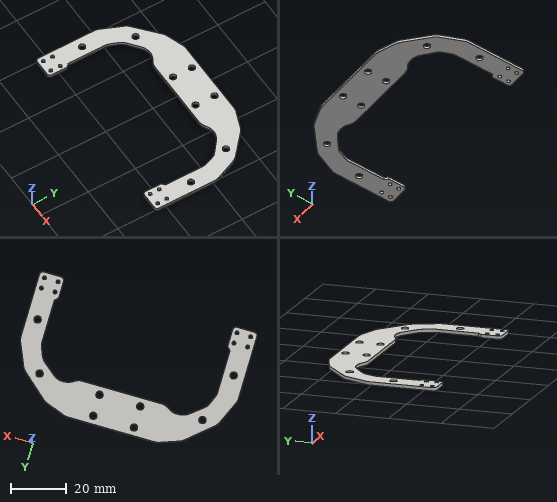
import cadquery as cq

overall_width = 81.25
overall_depth = 48.57
thickness = 1.27

half_width = overall_width / 2
pad_width = 9.1
arm_width = 7.86
step_top = 9.0
bridge_depth = 14.15

arm_inner_x = half_width - arm_width
pad_inner_x = half_width - pad_width
step_run = pad_width - arm_width
bridge_inner_y = overall_depth - bridge_depth
bay_top_y = 36.5

foot_radius = 1.27
bend_radius = 5.6

outer_bends = [
    (half_width, 25.9),
    (36.2, 36.15),
    (25.62, 45.47),
    (17.05, overall_depth),
]
inner_bends = [
    (16.5, bridge_inner_y),
    (19.3, bay_top_y),
    (23.6, bay_top_y),
    (30.7, 30.75),
    (arm_inner_x, 25.6),
]
foot_corners = [(pad_inner_x, 0), (half_width, 0)]

mount_diameter = 2.54
bridge_hole_x = 7.6
bridge_hole_rows = [37.52, 45.52]
arm_mounts = [(30.4, 36.06), (36.6, 17.3)]

pin_diameter = 1.27
pin_outer_x = half_width - 2.15
pin_pitch_x = 5.08
pin_columns = [pin_outer_x - pin_pitch_x, pin_outer_x]
pin_rows = [2.05, 5.93]


def mirrored(points):
    """The given right-hand points followed by their left-hand copies."""
    return points + [(-x, y) for x, y in points]


def round_corners(plate, corners, radius):
    """Round the upright edges of the plate standing at the given corners."""
    for x, y in corners:
        edge = cq.selectors.NearestToPointSelector((x, y, thickness / 2))
        plate = plate.edges("|Z").edges(edge).fillet(radius)
    return plate


def make_plate():
    """Horseshoe plate with rounded bends and feet."""
    step = [(arm_inner_x, step_top), (pad_inner_x, step_top - step_run)]
    right_half = inner_bends + step + foot_corners + outer_bends
    left_half = [(-x, y) for x, y in reversed(right_half)]
    plate = cq.Workplane("XY").polyline(right_half + left_half).close().extrude(thickness)
    plate = round_corners(plate, mirrored(outer_bends + inner_bends), bend_radius)
    return round_corners(plate, mirrored(foot_corners), foot_radius)


def drill(plate, centers, diameter):
    """Drill through holes at the given centres and their mirror images."""
    top_plane = plate.faces(">Z").workplane(origin=(0, 0, thickness))
    return top_plane.pushPoints(mirrored(centers)).hole(diameter)


bridge_mounts = [(bridge_hole_x, y) for y in bridge_hole_rows]
pin_holes = [(x, y) for x in pin_columns for y in pin_rows]

result = make_plate()
result = drill(result, bridge_mounts + arm_mounts, mount_diameter)
result = drill(result, pin_holes, pin_diameter)